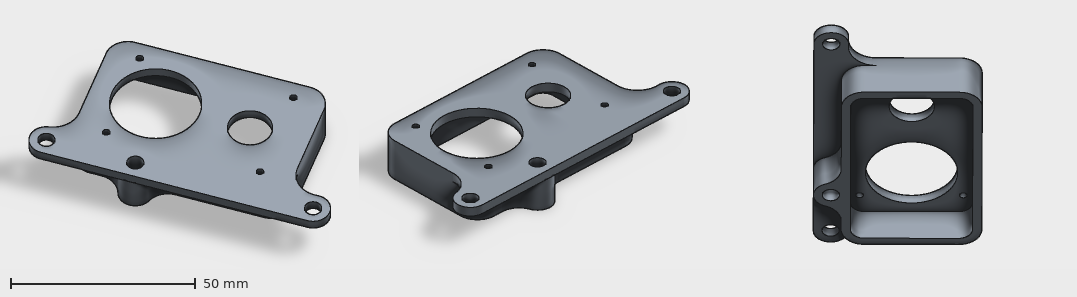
import cadquery as cq
import math

tilt_angle = 30
total_height = 12.4
plate_thickness = 2.8
skirt_height = total_height - plate_thickness

mount_spacing = 76.3
boss_x = mount_spacing / 3
mount_hole_diameter = 4.6
mount_radius = 4.7

housing_length = 62.4
housing_width = 38.15
housing_center_x = 36.5
housing_center_y = 21.9
corner_radius = 6.25
wall_thickness = 2.5
ear_fillet_radius = 7.5
boss_fillet_radius = 6.5

large_opening_diameter = 25.0
small_opening_diameter = 12.2
opening_spacing = 27.0
large_opening_x = 23.8
screw_hole_diameter = 2.0
screw_spacing_x = 44.0
screw_spacing_y = 28.1

left = housing_center_x - housing_length / 2
right = housing_center_x + housing_length / 2
front = housing_center_y - housing_width / 2
back = housing_center_y + housing_width / 2


def point_between(start, end, distance):
    """Return the point at a distance from start on the way to end."""
    fraction = distance / math.dist(start, end)
    return (start[0] + fraction * (end[0] - start[0]), start[1] + fraction * (end[1] - start[1]))


def ear_fillet(ear_x, side_x, outward):
    """Return the side tangent point, arc midpoint and ear tangent point of an ear fillet."""
    center_x = side_x + outward * ear_fillet_radius
    center_y = math.sqrt((mount_radius + ear_fillet_radius) ** 2 - (center_x - ear_x) ** 2)
    center = (center_x, center_y)
    side_point = (side_x, center_y)
    ear_point = point_between(center, (ear_x, 0), ear_fillet_radius)
    chord_middle = ((side_x + ear_point[0]) / 2, (center_y + ear_point[1]) / 2)
    middle = point_between(center, chord_middle, ear_fillet_radius)
    return side_point, middle, ear_point


def make_plate():
    """Plate with two rounded back corners and an ear at each end of its front edge."""
    left_side, left_middle, left_ear = ear_fillet(0, left, -1)
    right_side, right_middle, right_ear = ear_fillet(mount_spacing, right, 1)
    corner_offset = corner_radius * (1 - math.sqrt(0.5))
    return (
        cq.Workplane("XY", origin=(0, 0, skirt_height))
        .moveTo(0, -mount_radius)
        .lineTo(mount_spacing, -mount_radius)
        .threePointArc((mount_spacing + mount_radius, 0), right_ear)
        .threePointArc(right_middle, right_side)
        .lineTo(right, back - corner_radius)
        .threePointArc((right - corner_offset, back - corner_offset), (right - corner_radius, back))
        .lineTo(left + corner_radius, back)
        .threePointArc((left + corner_offset, back - corner_offset), (left, back - corner_radius))
        .lineTo(*left_side)
        .threePointArc(left_middle, left_ear)
        .threePointArc((-mount_radius, 0), (0, -mount_radius))
        .close()
        .extrude(plate_thickness)
    )


def rounded_block(inset):
    """Housing block moved inward by an inset on all four sides."""
    return (
        cq.Workplane("XY")
        .center(housing_center_x, housing_center_y)
        .rect(housing_length - 2 * inset, housing_width - 2 * inset)
        .extrude(skirt_height)
        .edges("|Z")
        .fillet(corner_radius - inset)
    )


def make_boss():
    """Round boss joined to the front wall by a concave fillet on each side."""
    fillet_center_y = front - boss_fillet_radius
    reach = math.sqrt((mount_radius + boss_fillet_radius) ** 2 - fillet_center_y ** 2)
    web_back = front + wall_thickness
    boss_center = (boss_x, 0)
    left_fillet = (boss_x - reach, fillet_center_y)
    right_fillet = (boss_x + reach, fillet_center_y)
    left_contact = point_between(boss_center, left_fillet, mount_radius)
    right_contact = point_between(boss_center, right_fillet, mount_radius)
    web = (
        cq.Workplane("XY")
        .polyline([
            left_contact,
            right_contact,
            (boss_x + reach, front),
            (boss_x + reach, web_back),
            (boss_x - reach, web_back),
            (boss_x - reach, front),
        ])
        .close()
        .extrude(skirt_height)
    )
    fillet_cutters = (
        cq.Workplane("XY")
        .pushPoints([left_fillet, right_fillet])
        .circle(boss_fillet_radius)
        .extrude(skirt_height)
    )
    cylinder = cq.Workplane("XY").center(*boss_center).circle(mount_radius).extrude(skirt_height)
    return web.cut(fillet_cutters).union(cylinder)


def round_holes(points, diameter):
    """Cylinders through the full height of the part."""
    return cq.Workplane("XY").pushPoints(points).circle(diameter / 2).extrude(total_height)


mount_points = [(0, 0), (boss_x, 0), (mount_spacing, 0)]
screw_points = [
    (housing_center_x + side * screw_spacing_x / 2, housing_center_y + end * screw_spacing_y / 2)
    for side in (-1, 1)
    for end in (-1, 1)
]
large_opening = (large_opening_x, housing_center_y)
small_opening = (large_opening_x + opening_spacing, housing_center_y)

walls = rounded_block(0).cut(rounded_block(wall_thickness))
body = make_plate().union(walls).union(make_boss())
body = body.cut(round_holes(mount_points, mount_hole_diameter))
body = body.cut(round_holes(screw_points, screw_hole_diameter))
body = body.cut(round_holes([large_opening], large_opening_diameter))
body = body.cut(round_holes([small_opening], small_opening_diameter))

result = body.rotate((0, 0, 0), (0, 0, 1), tilt_angle)